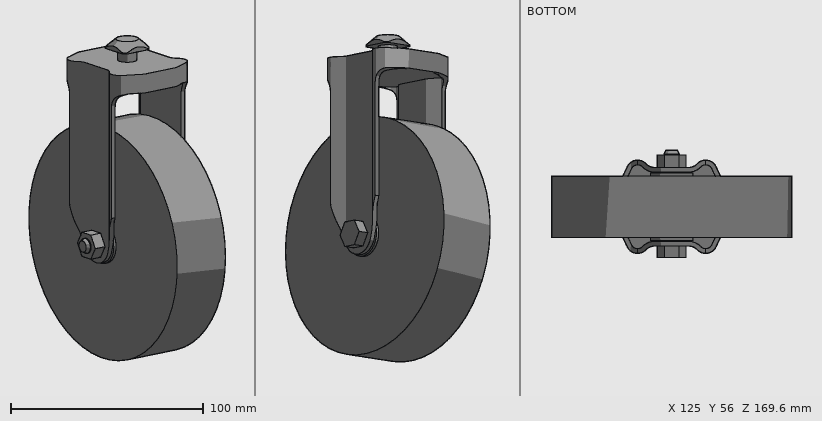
import cadquery as cq
import math


wheel_radius = 62.5
wheel_width = 32.0
hub_radius = 11.0
hub_end_y = 17.5

sheet = 2.5
web_inner_y = 18.0
web_outer_y = web_inner_y + sheet
web_half_width = 8.9
bump_radius = 6.0
bump_peak_x = 17.7
bump_peak_y = 24.3
fork_end_radius = 10.25
taper_start_z = 18.0
flare_radius = 7.7

plate_top_z = 95.7
plate_thickness = 10.2
plate_bottom_z = plate_top_z - plate_thickness
plate_half_length = 27.9
plate_side_angle = math.radians(25)
plate_corner_radius = 6.0

stud_top_z = 107.1
stud_head_height = 5.2
stud_head_side = 18.0
stud_head_corner_radius = 3.0
stud_cone_top_radius = 6.0
stud_cone_base_radius = 12.0
stud_stem_radius = 5.0

bolt_radius = 4.0
hex_across_flats = 13.0
bolt_head_height = 6.0
nut_height = 6.5
bolt_tip_y = -29.5
bolt_tip_radius = 3.0
bolt_tip_length = 2.0


def mirror_x(point):
    return (-point[0], point[1])


def polar(center, radius, angle):
    return (center[0] + radius * math.cos(angle), center[1] + radius * math.sin(angle))


def plate_quarter():
    """Quarter of the plan outline: half the flat web, one rounded bump and the tapering end."""
    rise = bump_peak_y - web_outer_y
    run = bump_peak_x - web_half_width
    turn = 2 * math.atan2(rise, run)
    valley_radius = run / math.sin(turn) - bump_radius
    valley_center = (web_half_width, web_outer_y + valley_radius)
    bump_center = (bump_peak_x, bump_peak_y - bump_radius)

    web_end = (web_half_width, web_outer_y)
    valley_mid = polar(valley_center, valley_radius, turn / 2 - math.pi / 2)
    valley_end = polar(valley_center, valley_radius, turn - math.pi / 2)
    bump_peak = (bump_peak_x, bump_peak_y)
    bump_inner_mid = polar(bump_center, bump_radius, (math.pi + turn) / 2)
    bump_outer_mid = polar(bump_center, bump_radius, (math.pi / 2 + plate_side_angle) / 2)
    bump_end = polar(bump_center, bump_radius, plate_side_angle)
    side_drop = (plate_half_length - bump_end[0]) / math.tan(plate_side_angle)
    corner = (plate_half_length, bump_end[1] - side_drop)

    quarter = (
        cq.Workplane("XY")
        .lineTo(0, web_outer_y)
        .lineTo(*web_end)
        .threePointArc(valley_mid, valley_end)
        .threePointArc(bump_inner_mid, bump_peak)
        .threePointArc(bump_outer_mid, bump_end)
        .lineTo(*corner)
        .lineTo(plate_half_length, 0)
        .close()
    )
    return quarter, corner


def outline_prism(bottom_z, top_z):
    """Prism over the whole outline, its four end corners rounded."""
    height = top_z - bottom_z
    quarter_outline, corner = plate_quarter()
    quarter = quarter_outline.extrude(height)
    corner_edge = cq.selectors.NearestToPointSelector((*corner, height / 2))
    quarter = quarter.edges(corner_edge).fillet(plate_corner_radius)
    half = quarter.union(quarter.mirror("YZ"))
    prism = half.union(half.mirror("XZ"))
    return prism.translate((0, 0, bottom_z))


def leg_silhouette():
    """Leg shape across X and Z: flared into the plate, straight, tapered to a round end."""
    corner_distance = math.hypot(bump_peak_x, taper_start_z)
    tangent_angle = math.atan2(taper_start_z, bump_peak_x) - math.acos(fork_end_radius / corner_distance)
    round_start = polar((0, 0), fork_end_radius, tangent_angle)
    flare_center = (bump_peak_x + flare_radius, plate_bottom_z - flare_radius)
    flare_start = (flare_center[0], plate_bottom_z)
    flare_mid = polar(flare_center, flare_radius, 0.75 * math.pi)
    flare_end = (bump_peak_x, flare_center[1])
    taper_start = (bump_peak_x, taper_start_z)
    return (
        cq.Workplane("XZ")
        .moveTo(*mirror_x(flare_start))
        .lineTo(*flare_start)
        .threePointArc(flare_mid, flare_end)
        .lineTo(*taper_start)
        .lineTo(*round_start)
        .threePointArc((0, -fork_end_radius), mirror_x(round_start))
        .lineTo(*mirror_x(taper_start))
        .lineTo(*mirror_x(flare_end))
        .threePointArc(mirror_x(flare_mid), mirror_x(flare_start))
        .close()
        .extrude(bump_peak_y + sheet, both=True)
    )


def make_fork():
    """Solid top plate with two legs hanging from it, each a strip of one sheet thickness."""
    plate = outline_prism(plate_bottom_z, plate_top_z)
    sleeve = outline_prism(-fork_end_radius, plate_bottom_z)
    core_outline = sleeve.faces("<Z").wires().val().offset2D(-sheet)
    core = cq.Workplane("XY").newObject(core_outline).toPending().extrude(plate_bottom_z + fork_end_radius)
    legs = sleeve.cut(core).intersect(leg_silhouette())
    return plate.union(legs)


def y_cylinder(radius, start_y, end_y):
    return cq.Workplane("XZ", origin=(0, start_y, 0)).circle(radius).extrude(start_y - end_y)


def make_wheel():
    wheel = y_cylinder(wheel_radius, wheel_width / 2, -wheel_width / 2)
    hub = y_cylinder(hub_radius, hub_end_y, -hub_end_y)
    return wheel.union(hub)


def hexagon(start_y, end_y):
    across_corners = hex_across_flats / math.cos(math.radians(30))
    return cq.Workplane("XZ", origin=(0, start_y, 0)).polygon(6, across_corners).extrude(start_y - end_y)


def make_axle():
    head = hexagon(web_outer_y + bolt_head_height, web_outer_y)
    nut = hexagon(-web_outer_y, -web_outer_y - nut_height)
    tip_start_y = bolt_tip_y + bolt_tip_length
    shank = y_cylinder(bolt_radius, web_outer_y, tip_start_y)
    tip = cq.Solid.makeCone(
        bolt_radius,
        bolt_tip_radius,
        bolt_tip_length,
        pnt=cq.Vector(0, tip_start_y, 0),
        dir=cq.Vector(0, -1, 0),
    )
    return shank.union(cq.Workplane("XY").add(tip)).union(head).union(nut)


def make_stud():
    head_bottom_z = stud_top_z - stud_head_height
    cone = cq.Workplane("XY").add(
        cq.Solid.makeCone(stud_cone_base_radius, stud_cone_top_radius, stud_head_height)
    )
    block = cq.Workplane("XY").rect(stud_head_side, stud_head_side).extrude(stud_head_height)
    block = block.edges("|Z").fillet(stud_head_corner_radius)
    head = block.intersect(cone).translate((0, 0, head_bottom_z))
    stem_height = head_bottom_z - plate_top_z
    stem = cq.Workplane("XY", origin=(0, 0, plate_top_z)).circle(stud_stem_radius).extrude(stem_height)
    return head.union(stem)


result = make_fork().union(make_wheel()).union(make_axle()).union(make_stud())